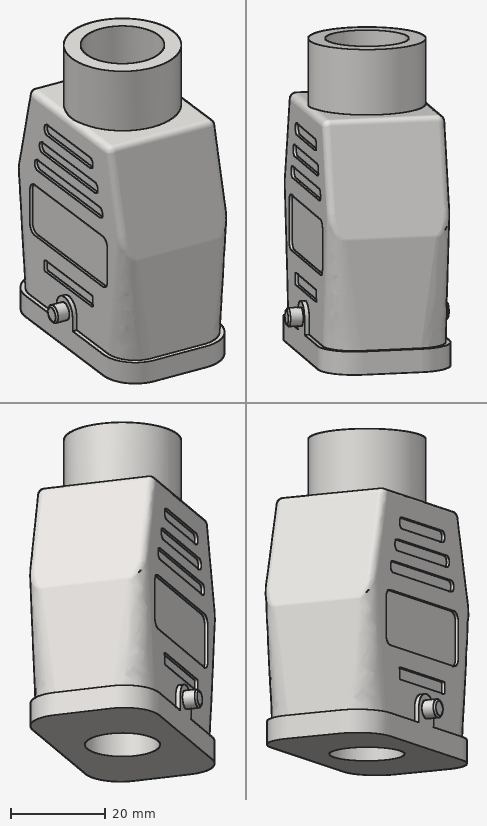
import cadquery as cq

total_height = 68.0
flange_height = 5.0
body_top = 53.85

flange_length = 48.0
flange_width = 28.7
flange_corner_radius = 7.9

body_length = 45.8
body_width = 26.65
body_corner_radius = 6.8
body_corner_radius_top = 0.1
shoulder_height = 29.2
top_length = 33.05
edge_radius = 1.5

collar_diameter = 25.0
collar_bore_diameter = 17.8
passage_diameter = 16.0

pin_diameter = 4.0
pin_span = 35.0
pin_height = 8.35
pin_chamfer = 0.4
lug_width = 6.65

recess_depth = 0.7
grip_slot_width = 2.5
grip_slot_lengths = [20.1, 24.2, 28.15]
grip_slot_top = 47.25
grip_slot_pitch = 5.0
panel_length = 32.1
panel_height = 12.0
panel_center = 26.05
panel_corner_radius = 2.0
lower_slot_length = 20.1
lower_slot_height = 2.65
lower_slot_center = 14.7
lower_slot_corner_radius = 0.5


def rounded_rectangle(length, width, radius):
    return cq.Sketch().rect(length, width).vertices().fillet(radius)


def make_flange():
    outline = rounded_rectangle(flange_length, flange_width, flange_corner_radius)
    return cq.Workplane("XY").placeSketch(outline).extrude(flange_height)


def make_body():
    bottom = rounded_rectangle(body_length, body_width, body_corner_radius)
    top = rounded_rectangle(body_length, body_width, body_corner_radius_top)
    rise = cq.Location(cq.Vector(0, 0, body_top - flange_height))
    tapered_block = (
        cq.Workplane("XY", origin=(0, 0, flange_height))
        .placeSketch(bottom, top.moved(rise))
        .loft(ruled=True)
    )
    profile = (
        cq.Workplane("XZ")
        .moveTo(-body_length / 2, 0)
        .lineTo(body_length / 2, 0)
        .lineTo(body_length / 2, shoulder_height)
        .lineTo(top_length / 2, body_top)
        .lineTo(-top_length / 2, body_top)
        .lineTo(-body_length / 2, shoulder_height)
        .close()
        .extrude(body_width, both=True)
    )
    body = tapered_block.intersect(profile)
    upper_edges = cq.selectors.BoxSelector(
        (-body_length, -body_width, shoulder_height - edge_radius),
        (body_length, body_width, body_top + edge_radius),
    )
    return body.edges(upper_edges).fillet(edge_radius)


def make_collar():
    return (
        cq.Workplane("XY", origin=(0, 0, flange_height))
        .circle(collar_diameter / 2)
        .extrude(total_height - flange_height)
    )


def make_lugs():
    return (
        cq.Workplane("XZ")
        .moveTo(-lug_width / 2, 0)
        .lineTo(lug_width / 2, 0)
        .lineTo(lug_width / 2, pin_height)
        .threePointArc((0, pin_height + lug_width / 2), (-lug_width / 2, pin_height))
        .close()
        .extrude(flange_width / 2, both=True)
    )


def make_pins():
    return (
        cq.Workplane("XZ", origin=(0, 0, pin_height))
        .circle(pin_diameter / 2)
        .extrude(pin_span / 2, both=True)
        .faces("<Y or >Y")
        .chamfer(pin_chamfer)
    )


def make_recess(outline, height):
    """Cutter reaching recess_depth into both long sides at the given height."""
    depth_start = body_width / 2 - recess_depth
    front = (
        cq.Workplane("XZ", origin=(0, -depth_start, height))
        .placeSketch(outline)
        .extrude(2 * recess_depth)
    )
    return front.union(front.mirror("XZ"))


part = make_flange().union(make_body()).union(make_collar())

for row, length in enumerate(grip_slot_lengths):
    slot = cq.Sketch().slot(length - grip_slot_width, grip_slot_width)
    part = part.cut(make_recess(slot, grip_slot_top - row * grip_slot_pitch))

panel = rounded_rectangle(panel_length, panel_height, panel_corner_radius)
part = part.cut(make_recess(panel, panel_center))

lower_slot = rounded_rectangle(lower_slot_length, lower_slot_height, lower_slot_corner_radius)
part = part.cut(make_recess(lower_slot, lower_slot_center))

part = part.union(make_lugs()).union(make_pins())

collar_bore = (
    cq.Workplane("XY", origin=(0, 0, body_top))
    .circle(collar_bore_diameter / 2)
    .extrude(total_height - body_top)
)
passage = cq.Workplane("XY").circle(passage_diameter / 2).extrude(total_height)

result = part.cut(collar_bore).cut(passage)